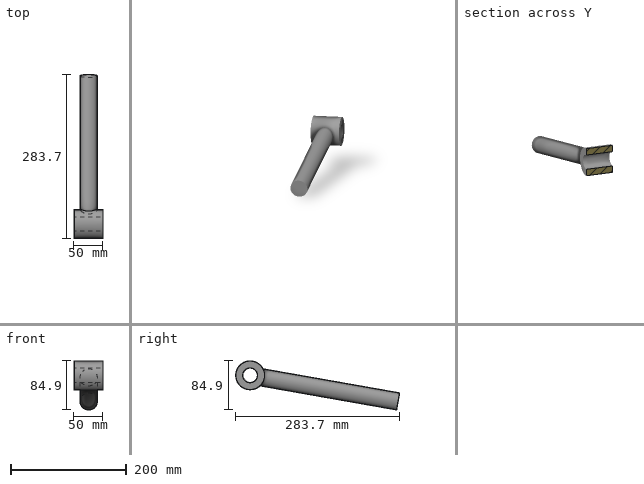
import cadquery as cq
import math

HUB_DIAMETER = 50.0
HUB_LENGTH = 50.0
BORE_DIAMETER = 25.0

ROD_DIAMETER = 30.0
ROD_REACH = 260.0
ROD_TILT_DEG = 10.0


def cylinder_along_x(diameter, length):
    """Cylinder on the X axis, centred on the origin."""
    return cq.Workplane("YZ").circle(diameter / 2).extrude(length / 2, both=True)


def make_rod():
    """Rod that starts on the hub axis and runs outwards along the tilted direction."""
    tilt = math.radians(ROD_TILT_DEG)
    rod_direction = (0, math.cos(tilt), -math.sin(tilt))
    rod_plane = cq.Plane(origin=(0, 0, 0), xDir=(1, 0, 0), normal=rod_direction)
    return cq.Workplane(rod_plane).circle(ROD_DIAMETER / 2).extrude(ROD_REACH)


hub = cylinder_along_x(HUB_DIAMETER, HUB_LENGTH)
bore = cylinder_along_x(BORE_DIAMETER, HUB_LENGTH)

result = hub.union(make_rod()).cut(bore)